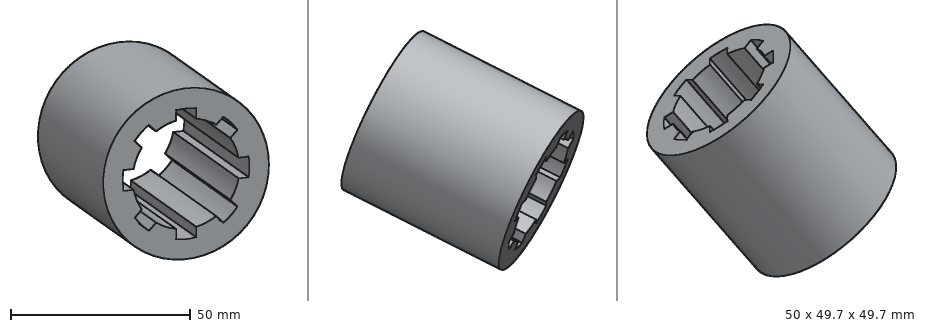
import cadquery as cq

length = 50.0
outer_diameter = 49.7
minor_diameter = 32.0
major_diameter = 38.0
groove_width = 6.0
groove_count = 8


def cylinder(diameter):
    """Solid cylinder centred on the origin along X."""
    return cq.Workplane("YZ", origin=(-length / 2, 0, 0)).circle(diameter / 2).extrude(length)


def spline_grooves():
    """Opposed grooves with parallel sides and floors on the major diameter."""
    bar = cq.Workplane("XY").box(length, groove_width, outer_diameter)
    bars = bar
    for i in range(1, groove_count // 2):
        bars = bars.union(bar.rotate((0, 0, 0), (1, 0, 0), i * 360 / groove_count))
    return bars.intersect(cylinder(major_diameter))


result = cylinder(outer_diameter).cut(cylinder(minor_diameter)).cut(spline_grooves())